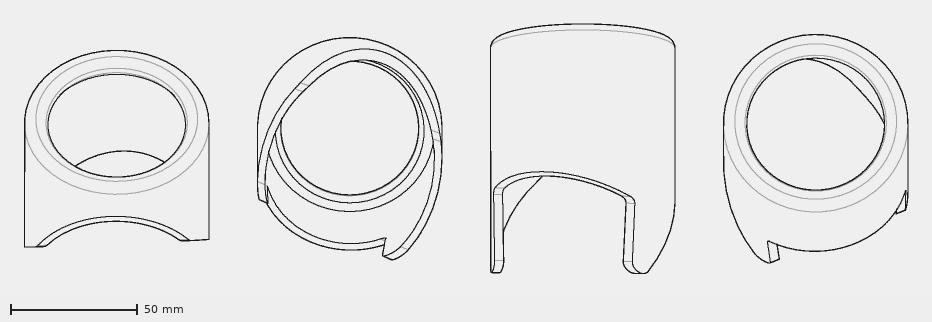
import cadquery as cq
import math

outer_radius = 36.5
wall = 3.0
bore_radius = outer_radius - wall
blank_length = 130.0
blank_width = 3 * outer_radius

lip_slope = math.radians(30)
lip_thickness = 5.5
lip_hole_radius = 27.2
nose_radius = 1.5

steep_plane = (138.8, 23.9, -40.13)
shallow_plane = (142.2, 39.9, -49.73)
slot_roof_plane = (120.2, -67.1, 68.6)
leg_plane = (138.8, 2.3, 18.42)

bend_radius = 15.0
slot_corner_radius = 2.5
leg_tip_radius = 3.92

edge_tolerance = 1e-3


def unit_normal(plane):
    azimuth = math.radians(plane[0])
    elevation = math.radians(plane[1])
    return cq.Vector(
        math.cos(elevation) * math.cos(azimuth),
        math.cos(elevation) * math.sin(azimuth),
        math.sin(elevation),
    )


def block_beyond(plane, direction):
    """Large block on one side of a plane: direction +1 is along its normal, -1 against it."""
    normal = unit_normal(plane)
    size = 4 * blank_length
    workplane = cq.Workplane(cq.Plane(origin=normal * plane[2], normal=normal))
    return workplane.rect(size, size).extrude(direction * size)


def edges_between(part, first, second):
    """The straight edges of the part where two of its planes meet."""

    def lies_on(point, plane):
        return abs(point.dot(unit_normal(plane)) - plane[2]) < edge_tolerance

    def lies_on_both(edge):
        points = (edge.startPoint(), edge.endPoint())
        return all(lies_on(point, plane) for point in points for plane in (first, second))

    straight_edges = part.edges("%LINE").vals()
    return part.newObject([edge for edge in straight_edges if lies_on_both(edge)])


def lipped_tube():
    """Tube with a rounded rim and an inward lip, revolved from its half section."""
    sin_slope = math.sin(lip_slope)
    cos_slope = math.cos(lip_slope)

    def moved(start, inward, down):
        """Point reached from start by going inward along the lip slope and down square to it."""
        return (
            start[0] - inward * cos_slope + down * sin_slope,
            start[1] - inward * sin_slope - down * cos_slope,
        )

    crest_end = moved((bore_radius, -wall), 0, -wall)
    nose_start_radius = lip_hole_radius + nose_radius * (1 - sin_slope)
    nose_start = moved(crest_end, (crest_end[0] - nose_start_radius) / cos_slope, 0)
    nose_centre = moved(nose_start, 0, nose_radius)
    nose_offset = nose_radius * math.sqrt(0.5)
    nose_middle = moved(nose_centre, nose_offset, -nose_offset)
    nose_end = moved(nose_centre, nose_radius, 0)
    lip_heel = moved(nose_end, 0, lip_thickness - nose_radius)
    lip_root = moved(lip_heel, (lip_heel[0] - bore_radius) / cos_slope, 0)
    section = (
        cq.Workplane("XZ")
        .moveTo(outer_radius, -blank_length)
        .lineTo(outer_radius, -wall)
        .threePointArc((bore_radius, 0), crest_end)
        .lineTo(*nose_start)
        .threePointArc(nose_middle, nose_end)
        .lineTo(*lip_heel)
        .lineTo(*lip_root)
        .lineTo(bore_radius, -blank_length)
        .close()
    )
    return section.revolve(360, (0, 0, 0), (0, 1, 0))


def trimming_body():
    """Block with the slanted mouth and the slot of the finished sleeve, its edges rounded."""
    body = cq.Workplane().box(blank_width, blank_width, 2 * blank_length)
    for plane in (steep_plane, shallow_plane):
        body = body.cut(block_beyond(plane, -1))
    slot = block_beyond(leg_plane, 1).intersect(block_beyond(slot_roof_plane, 1))
    body = body.cut(slot)
    body = edges_between(body, steep_plane, shallow_plane).fillet(bend_radius)
    body = edges_between(body, slot_roof_plane, leg_plane).fillet(slot_corner_radius)
    return edges_between(body, shallow_plane, leg_plane).fillet(leg_tip_radius)


result = lipped_tube().intersect(trimming_body())